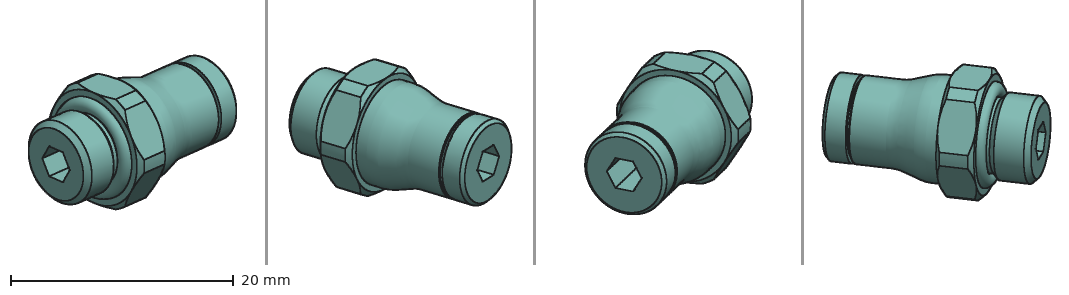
import cadquery as cq

length = 19.3

thread_radius = 4.0
neck_radius = 3.45
thread_chamfer = thread_radius - neck_radius
thread_end = 3.86

nut_start = 4.77
nut_end = 8.28
nut_flats = 11.0
nut_corner_radius = 6.0
nut_face_radius = nut_flats / 2
nut_chamfer = 0.42

seal_section_radius = 0.75
seal_outer_radius = 4.85
seal_centre_radius = seal_outer_radius - seal_section_radius

body_radius = 4.92
taper_start = 9.44
taper_end = 13.32
blend_length = 1.1
blend_drop = 0.17
tube_radius = 4.03
tube_chamfer = 0.33

groove_start = 16.8
groove_end = 17.06
groove_radius = 3.5
groove_chamfer = 0.1
cap_bevel_length = 0.12
cap_bevel_depth = 0.02

key_flats = 3.0


def hexagon(flats, start, end):
    """Hexagonal prism along Y with two corners on the X axis."""
    corner_diameter = flats / (3 ** 0.5 / 2)
    plane = cq.Plane(origin=(0, start, 0), xDir=(1, 0, 0), normal=(0, 1, 0))
    return cq.Workplane(plane).polygon(6, corner_diameter).extrude(end - start)


def revolve(profile):
    """Full turn of a radius-by-Y profile about the Y axis."""
    return profile.close().revolve(360, (0, 0, 0), (0, 1, 0))


def make_body():
    return revolve(
        cq.Workplane("XY")
        .moveTo(0, 0)
        .lineTo(thread_radius - thread_chamfer, 0)
        .lineTo(thread_radius, thread_chamfer)
        .lineTo(thread_radius, thread_end - thread_chamfer)
        .lineTo(neck_radius, thread_end)
        .lineTo(neck_radius, nut_start)
        .lineTo(body_radius, nut_start)
        .lineTo(body_radius, taper_start)
        .tangentArcPoint((body_radius - blend_drop, taper_start + blend_length), relative=False)
        .lineTo(tube_radius + blend_drop, taper_end - blend_length)
        .tangentArcPoint((tube_radius, taper_end), relative=False)
        .lineTo(tube_radius, groove_start - groove_chamfer)
        .lineTo(tube_radius - groove_chamfer, groove_start)
        .lineTo(groove_radius, groove_start)
        .lineTo(groove_radius, groove_end)
        .lineTo(tube_radius - cap_bevel_depth, groove_end)
        .lineTo(tube_radius, groove_end + cap_bevel_length)
        .lineTo(tube_radius, length - tube_chamfer)
        .lineTo(tube_radius - tube_chamfer, length)
        .lineTo(0, length)
    )


def make_nut():
    envelope = revolve(
        cq.Workplane("XY")
        .moveTo(0, nut_start)
        .lineTo(nut_face_radius, nut_start)
        .lineTo(nut_corner_radius, nut_start + nut_chamfer)
        .lineTo(nut_corner_radius, nut_end - nut_chamfer)
        .lineTo(nut_face_radius, nut_end)
        .lineTo(0, nut_end)
    )
    return hexagon(nut_flats, nut_start, nut_end).intersect(envelope)


def make_seal():
    """Half-round ring bulging from the nut face toward the thread."""
    return revolve(
        cq.Workplane("XY")
        .moveTo(seal_centre_radius - seal_section_radius, nut_start)
        .threePointArc(
            (seal_centre_radius, nut_start - seal_section_radius),
            (seal_outer_radius, nut_start),
        )
    )


key_passage = hexagon(key_flats, 0, length)
result = make_body().union(make_nut()).union(make_seal()).cut(key_passage)